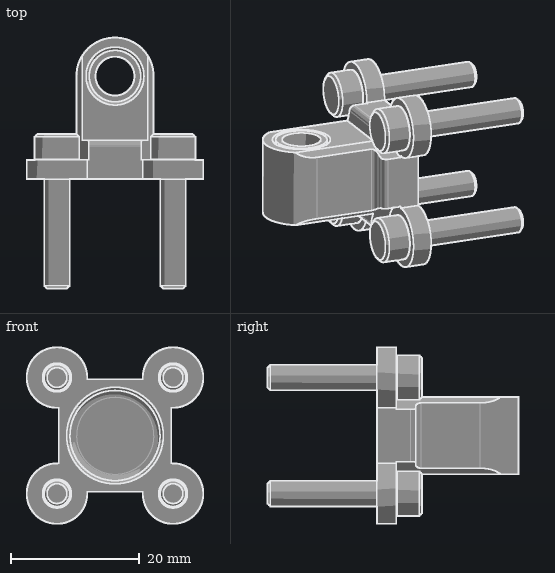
import cadquery as cq
import math


screw_pitch = 18.0
screw_offset = screw_pitch / 2
plate_thickness = 3.0
lug_diameter = 9.45
screw_hole_diameter = 4.5
head_clearance_diameter = 9.9

base_width = 17.5
base_height = 6.0
base_edge_radius = 0.8
pocket_diameter = 14.0
pocket_depth = 4.0
pocket_floor_radius = 1.0
pocket_mouth_chamfer = 0.5

eye_width = 12.0
eye_length = 22.0
eye_center = eye_length - eye_width / 2
eye_bore_diameter = 6.0
eye_root_radius = 0.8
ring_diameter = 8.0
ring_groove_depth = 0.5

shank_diameter = 4.0
shank_length = 20.0
shank_tip_chamfer = 0.45
head_diameter = 7.0
head_height = 4.0
head_top_chamfer = 0.45
head_seat_chamfer = 0.1

SCREW_POSITIONS = [
    (side_x * screw_offset, side_z * screw_offset)
    for side_x in (-1, 1)
    for side_z in (-1, 1)
]


def box_along_y(width, height, y_start, y_end):
    """Box centred on the Y axis, with the given X width and Z height."""
    return cq.Workplane("XY").box(width, y_end - y_start, height).translate((0, (y_start + y_end) / 2, 0))


def cylinder_along_y(x, z, diameter, y_start, y_end):
    solid = cq.Solid.makeCylinder(diameter / 2, y_end - y_start, cq.Vector(x, y_start, z), cq.Vector(0, 1, 0))
    return cq.Workplane(obj=solid)


def make_base():
    """Square base with its outer edge rounded at the eye end."""
    base = box_along_y(base_width, base_width, 0, base_height)
    return base.faces(">Y").edges().fillet(base_edge_radius)


def make_eye():
    """Eye with a round end, flared at its root on the two X sides."""
    half_width = eye_width / 2
    foot_half_width = half_width + eye_root_radius
    root_end = base_height + eye_root_radius
    arc_bulge = eye_root_radius * (1 - math.sqrt(0.5))
    outline = (
        cq.Workplane("XY", origin=(0, 0, -half_width))
        .moveTo(-foot_half_width, pocket_depth)
        .lineTo(foot_half_width, pocket_depth)
        .lineTo(foot_half_width, base_height)
        .threePointArc((half_width + arc_bulge, base_height + arc_bulge), (half_width, root_end))
        .lineTo(half_width, eye_center)
        .threePointArc((0, eye_length), (-half_width, eye_center))
        .lineTo(-half_width, root_end)
        .threePointArc((-half_width - arc_bulge, base_height + arc_bulge), (-foot_half_width, base_height))
        .close()
    )
    return outline.extrude(eye_width)


def make_pocket():
    """Cutter for the round pocket, with a filleted floor and a chamfered mouth."""
    pocket = cylinder_along_y(0, 0, pocket_diameter, 0, pocket_depth)
    pocket = pocket.faces(">Y").edges().fillet(pocket_floor_radius)
    radius = pocket_diameter / 2
    mouth = cq.Solid.makeCone(
        radius + pocket_mouth_chamfer, radius, pocket_mouth_chamfer, cq.Vector(0, 0, 0), cq.Vector(0, 1, 0)
    )
    return pocket.union(cq.Workplane(obj=mouth))


def make_ring_groove(side):
    """Cutter for the V groove around the bore, on the +Z (side = 1) or -Z (side = -1) face."""
    face_z = side * eye_width / 2
    ring_radius = ring_diameter / 2
    return (
        cq.Workplane("XZ", origin=(0, eye_center, 0))
        .moveTo(ring_radius, face_z)
        .lineTo(ring_radius + ring_groove_depth, face_z)
        .lineTo(ring_radius, face_z - side * ring_groove_depth)
        .close()
        .revolve(360, (0, 0, 0), (0, 1, 0))
    )


def make_bracket():
    bracket = make_base().union(make_eye())

    for x, z in SCREW_POSITIONS:
        bracket = bracket.cut(cylinder_along_y(x, z, head_clearance_diameter, plate_thickness, eye_length))

    for x, z in SCREW_POSITIONS:
        bracket = bracket.union(cylinder_along_y(x, z, lug_diameter, 0, plate_thickness))
    for x, z in SCREW_POSITIONS:
        bracket = bracket.cut(cylinder_along_y(x, z, screw_hole_diameter, 0, plate_thickness))

    bracket = bracket.cut(make_pocket())

    bore = cq.Workplane("XY").center(0, eye_center).circle(eye_bore_diameter / 2).extrude(eye_width, both=True)
    bracket = bracket.cut(bore)
    for side in (-1, 1):
        bracket = bracket.cut(make_ring_groove(side))
    return bracket


def make_screw(x, z):
    """Screw with a plain cylindrical head seated on the back of the plate."""
    head = cylinder_along_y(x, z, head_diameter, plate_thickness, plate_thickness + head_height)
    head = head.faces(">Y").edges().chamfer(head_top_chamfer)
    head = head.faces("<Y").edges().chamfer(head_seat_chamfer)
    shank = cylinder_along_y(x, z, shank_diameter, plate_thickness - shank_length, plate_thickness)
    shank = shank.faces("<Y").edges().chamfer(shank_tip_chamfer)
    return head.union(shank)


bracket = make_bracket()
screws = [make_screw(x, z) for x, z in SCREW_POSITIONS]

result = cq.Compound.makeCompound([bracket.solids().val(), *[screw.solids().val() for screw in screws]])